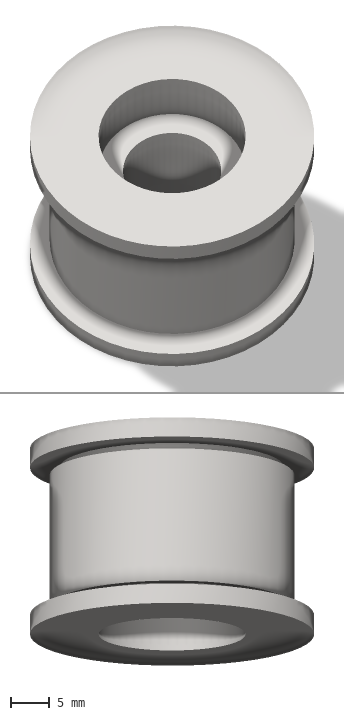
import cadquery as cq

flange_diameter = 36.83
flange_thickness = 2.55
groove_diameter = 29.2
groove_width = 1.0
drum_diameter = 31.75
total_height = 24.65
bore_diameter = 12.7
seat_diameter = 19.05
seat_depth = 7.2

drum_length = total_height - 2 * (flange_thickness + groove_width)


def stacked_disc(body, diameter, thickness):
    """Add a coaxial disc on top of the body."""
    return body.faces(">Z").workplane().circle(diameter / 2).extrude(thickness)


roller = cq.Workplane("XY").circle(flange_diameter / 2).extrude(flange_thickness)
roller = stacked_disc(roller, groove_diameter, groove_width)
roller = stacked_disc(roller, drum_diameter, drum_length)
roller = stacked_disc(roller, groove_diameter, groove_width)
roller = stacked_disc(roller, flange_diameter, flange_thickness)

roller = roller.faces(">Z").workplane().hole(bore_diameter)

for end_face in (">Z", "<Z"):
    roller = roller.faces(end_face).workplane().hole(seat_diameter, seat_depth)

result = roller